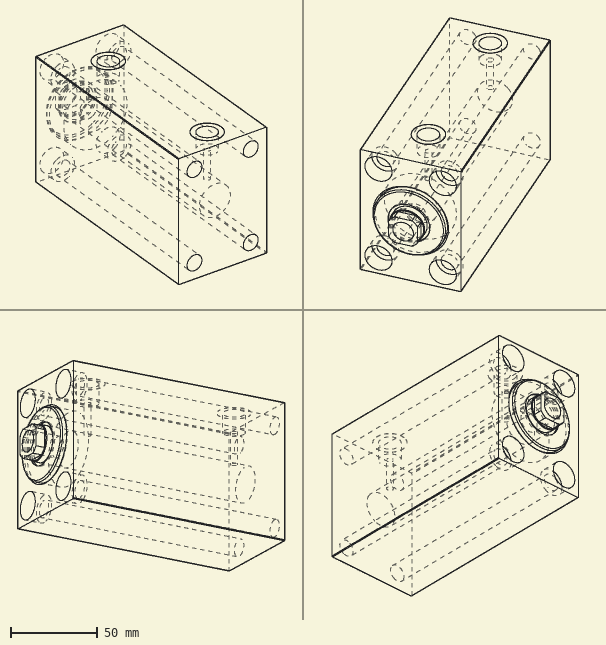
import cadquery as cq
import math


total_length = 155.0
block_front = 12.0
block_width = 63.0
block_height = 85.0
block_edge_chamfer = 0.5
block_length = total_length - block_front

mount_spacing_y = 40.0
mount_spacing_z = 63.0
mount_hole_diameter = 10.5
mount_counterbore_diameter = 16.9
mount_counterbore_depth = 11.0

rear_port_inset = 15.5
rear_port_x = total_length - rear_port_inset
port_spacing = 99.0
port_positions_x = (rear_port_x - port_spacing, rear_port_x)
port_face_diameter = 20.0
port_face_depth = 0.2
port_diameter = 13.2
port_depth = 12.0
port_drill_diameter = 4.0

gland_diameter = 45.0
gland_protrusion = 3.0
gland_chamfer = 1.0
gland_insertion = 15.5
gland_seat_chamfer = 1.1
gland_recess_diameter = 26.0
gland_recess_depth = 1.2
gland_front = block_front - gland_protrusion
gland_back = block_front + gland_insertion

rod_diameter = 22.0
rod_chamfer = 0.5
rod_end = 147.2
tip_diameter = rod_diameter - 2 * rod_chamfer
tip_length = 5.7
tip_across_flats = 18.0
rod_hole_diameter = 12.9
rod_hole_depth = 20.2
drill_point_angle = 118.0


def cylinder_along_x(diameter, start, end):
    """Solid cylinder on the rod axis between two X positions."""
    return cq.Workplane("YZ", origin=(start, 0, 0)).circle(diameter / 2).extrude(end - start)


def cone_along_x(start_diameter, end_diameter, start, end):
    """Solid cone or truncated cone on the rod axis between two X positions."""
    cone = cq.Solid.makeCone(
        start_diameter / 2,
        end_diameter / 2,
        end - start,
        pnt=cq.Vector(start, 0, 0),
        dir=cq.Vector(1, 0, 0),
    )
    return cq.Workplane(cone)


def cylinder_down(diameter, x, top, depth):
    """Solid vertical cylinder reaching down from a given height."""
    return cq.Workplane("XY", origin=(x, 0, top)).circle(diameter / 2).extrude(-depth)


def make_housing():
    block = (
        cq.Workplane("XY")
        .box(block_length, block_width, block_height)
        .edges("|X")
        .chamfer(block_edge_chamfer)
        .translate((block_front + block_length / 2, 0, 0))
    )

    block = (
        block.faces("<X")
        .workplane(centerOption="CenterOfBoundBox")
        .rect(mount_spacing_y, mount_spacing_z, forConstruction=True)
        .vertices()
        .cboreHole(mount_hole_diameter, mount_counterbore_diameter, mount_counterbore_depth)
    )

    top = block_height / 2
    for x in port_positions_x:
        block = block.cut(cylinder_down(port_face_diameter, x, top, port_face_depth))
        block = block.cut(cylinder_down(port_diameter, x, top, port_depth))
        block = block.cut(cylinder_down(port_drill_diameter, x, top, top))

    seat_mouth_diameter = gland_diameter + 2 * gland_seat_chamfer
    seat_chamfer_end = block_front + gland_seat_chamfer
    block = block.cut(cylinder_along_x(gland_diameter, block_front, gland_back))
    block = block.cut(cone_along_x(seat_mouth_diameter, gland_diameter, block_front, seat_chamfer_end))
    return block.cut(cylinder_along_x(rod_diameter, gland_back, rod_end))


def make_gland():
    gland = cylinder_along_x(gland_diameter, gland_front, gland_back)
    gland = gland.faces("<X").edges().chamfer(gland_chamfer)
    recess_end = gland_front + gland_recess_depth
    gland = gland.cut(cylinder_along_x(gland_recess_diameter, gland_front, recess_end))
    return gland.cut(cylinder_along_x(rod_diameter, gland_front, gland_back))


def make_rod():
    shank = cylinder_along_x(rod_diameter, tip_length, rod_end)
    shank = shank.faces("<X").edges().chamfer(rod_chamfer)

    flats = cq.Workplane("YZ").rect(tip_across_flats, tip_across_flats).extrude(tip_length)
    rod = shank.union(cylinder_along_x(tip_diameter, 0, tip_length).intersect(flats))

    point_length = rod_hole_diameter / 2 / math.tan(math.radians(drill_point_angle / 2))
    point_end = rod_hole_depth + point_length
    rod = rod.cut(cylinder_along_x(rod_hole_diameter, 0, rod_hole_depth))
    return rod.cut(cone_along_x(rod_hole_diameter, 0, rod_hole_depth, point_end))


housing = make_housing()
gland = make_gland()
rod = make_rod()

result = cq.Compound.makeCompound([housing.val(), gland.val(), rod.val()])